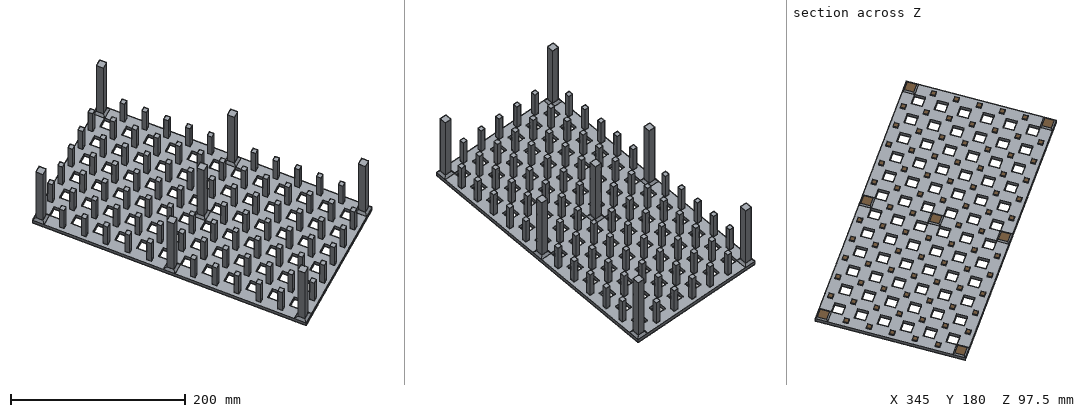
import cadquery as cq

length = 345.0
height = 97.5

post_side = 9.0
foot_height = 3.0
foot_slope = 45
foot_side = post_side + 2 * foot_height
peg_side = 6.0
peg_top = 40.0

columns = 13
rows = 7
pitch = (length - foot_side) / (columns - 1)
width = (rows - 1) * pitch + foot_side

plate_thickness = 5.2
window_side = 13.0

middle_column = columns // 2
middle_row = rows // 2
post_nodes = [(column, row) for column in (0, middle_column, columns - 1) for row in (0, rows - 1)]
post_nodes.append((middle_column, middle_row))
peg_nodes = [
    (column, row)
    for column in range(columns)
    for row in range(rows)
    if (column, row) not in post_nodes
]


def node_centers(nodes):
    """Return the XY centers of grid nodes, with the grid centered on the origin."""
    return [
        ((column - (columns - 1) / 2) * pitch, (row - (rows - 1) / 2) * pitch)
        for column, row in nodes
    ]


def square_bars(nodes, side, top):
    """Return square bars that rise from the underside of the plate to the given height."""
    return cq.Workplane("XY").pushPoints(node_centers(nodes)).rect(side, side).extrude(top)


def perforated_plate():
    """Return the base plate with one square window in the middle of every grid cell."""
    plate = cq.Workplane("XY").box(length, width, plate_thickness, centered=(True, True, False))
    windows = (
        cq.Workplane("XY")
        .rarray(pitch, pitch, columns - 1, rows - 1)
        .rect(window_side, window_side)
        .extrude(plate_thickness)
    )
    return plate.cut(windows)


def post_feet():
    """Return the sloped feet that join the posts to the plate."""
    return (
        cq.Workplane("XY", origin=(0, 0, plate_thickness))
        .pushPoints(node_centers(post_nodes))
        .rect(foot_side, foot_side)
        .extrude(foot_height, taper=foot_slope)
    )


posts = square_bars(post_nodes, post_side, height)
pegs = square_bars(peg_nodes, peg_side, peg_top)

result = perforated_plate().union(post_feet()).union(posts).union(pegs)